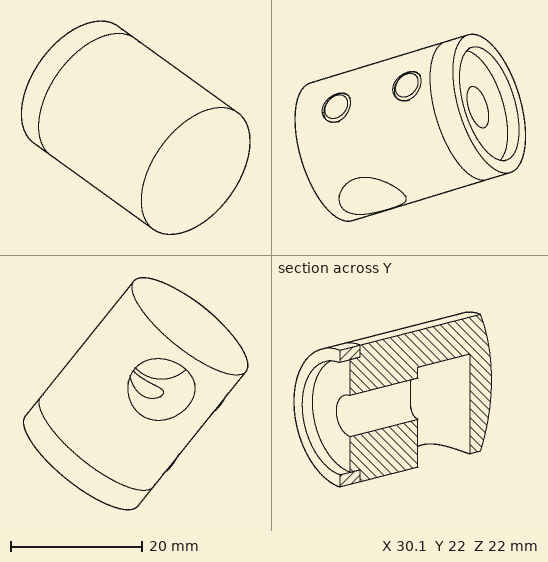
import cadquery as cq

total_length = 30.1
outer_radius = 11.002
dome_height = 2.2
dome_start = total_length - dome_height

collar_length = 4.03
spigot_radius = 9.0
spigot_start = 2.02

bore_radius = 3.28
bar_hole_x = 20.6
bar_hole_radius = 5.12
bar_hole_top = 5.0

screw_radius = 2.5
screw_length = 5.0
screw_chamfer = 0.48
screw_positions = [8.13, bar_hole_x]


def x_cylinder(radius, start, end):
    """Cylinder on the X axis between two X positions."""
    return cq.Workplane("YZ", origin=(start, 0, 0)).circle(radius).extrude(end - start)


def make_collar():
    """Plain ring that sits over the spigot of the post."""
    ring = x_cylinder(outer_radius, 0, collar_length)
    return ring.cut(x_cylinder(spigot_radius, 0, collar_length))


def make_screw_blank(x):
    """Full cylinder on an axis parallel to Y, also the shape of the screw hole."""
    plane = cq.Plane(origin=(x, outer_radius, 0), xDir=(1, 0, 0), normal=(0, -1, 0))
    return cq.Workplane(plane).circle(screw_radius).extrude(screw_length)


def make_screw(x):
    """Plain set screw with a chamfered outer end."""
    return make_screw_blank(x).faces(">Y").chamfer(screw_chamfer)


def make_domed_blank():
    """Half profile with a spigot and a spherical end, revolved about X."""
    dome_radius = (outer_radius**2 + dome_height**2) / (2 * dome_height)
    dome_center_x = total_length - dome_radius
    mid_height = outer_radius / 2
    mid_x = dome_center_x + (dome_radius**2 - mid_height**2) ** 0.5
    return (
        cq.Workplane("XY")
        .moveTo(spigot_start, 0)
        .lineTo(spigot_start, spigot_radius)
        .lineTo(collar_length, spigot_radius)
        .lineTo(collar_length, outer_radius)
        .lineTo(dome_start, outer_radius)
        .threePointArc((mid_x, mid_height), (total_length, 0))
        .close()
        .revolve(360, (0, 0, 0), (1, 0, 0))
    )


def make_post():
    """Domed post with the bore opening into the bar hole, and screw holes."""
    bar_hole = (
        cq.Workplane("XY", origin=(bar_hole_x, 0, -outer_radius))
        .circle(bar_hole_radius)
        .extrude(outer_radius + bar_hole_top)
    )
    post = make_domed_blank()
    post = post.cut(x_cylinder(bore_radius, spigot_start, bar_hole_x))
    post = post.cut(bar_hole)
    for x in screw_positions:
        post = post.cut(make_screw_blank(x))
    return post


collar = make_collar()
post = make_post()
screws = [make_screw(x).val() for x in screw_positions]

result = cq.Compound.makeCompound([collar.val(), post.val(), *screws])